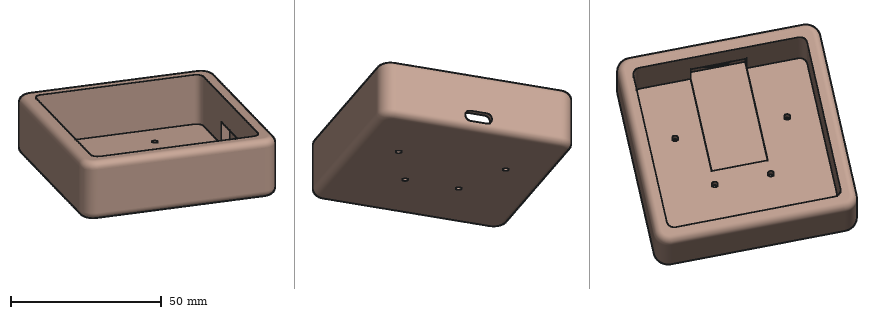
import cadquery as cq

side = 68.85
height = 20.6
wall = 5.0
edge_radius = wall / 2
corner_radius = wall

floor_thickness = 3.0
cavity_side = side - 2 * wall
cavity_corner_radius = corner_radius / 2

pocket_width = 19.0
pocket_length = 34.0
pocket_depth = 1.5
pocket_undercut = 3.0
pocket_headroom = 8.0
pocket_height = pocket_depth + pocket_headroom
pocket_bottom = floor_thickness - pocket_depth

slot_length = 9.44
slot_height = 3.76
slot_clearance = 1.38

hole_diameter = 2.0
hole_pitch = 19.0
hole_positions = [
    (-hole_pitch, hole_pitch / 2),
    (hole_pitch, hole_pitch / 2),
    (-hole_pitch / 2, -hole_pitch / 2),
    (hole_pitch / 2, -hole_pitch / 2),
]


def case_body():
    """Square block with rounded corners and rounded top and bottom rims."""
    block = cq.Workplane("XY").box(side, side, height, centered=(True, True, False))
    return block.edges("|Z").fillet(corner_radius).faces("<Z or >Z").edges().fillet(edge_radius)


def cavity():
    """Square opening above the floor."""
    opening = (
        cq.Workplane("XY", origin=(0, 0, floor_thickness))
        .box(cavity_side, cavity_side, height - floor_thickness, centered=(True, True, False))
    )
    return opening.edges("|Z").fillet(cavity_corner_radius)


def board_pocket():
    """Rectangular pocket that reaches below the floor and into the +Y wall."""
    front_edge = cavity_side / 2 - pocket_length
    return (
        cq.Workplane("XY", origin=(0, front_edge, pocket_bottom))
        .box(pocket_width, pocket_length + pocket_undercut, pocket_height, centered=(True, False, False))
    )


def connector_slot():
    """Round-ended slot from the cavity out through the +Y wall."""
    slot_center_z = pocket_bottom + slot_clearance + slot_height / 2
    return (
        cq.Workplane("XZ", origin=(0, side / 2, slot_center_z))
        .slot2D(slot_length, slot_height)
        .extrude(wall)
    )


def mounting_holes():
    """Four round holes through the floor."""
    return (
        cq.Workplane("XY")
        .pushPoints(hole_positions)
        .circle(hole_diameter / 2)
        .extrude(floor_thickness)
    )


result = (
    case_body()
    .cut(cavity())
    .cut(board_pocket())
    .cut(connector_slot())
    .cut(mounting_holes())
)